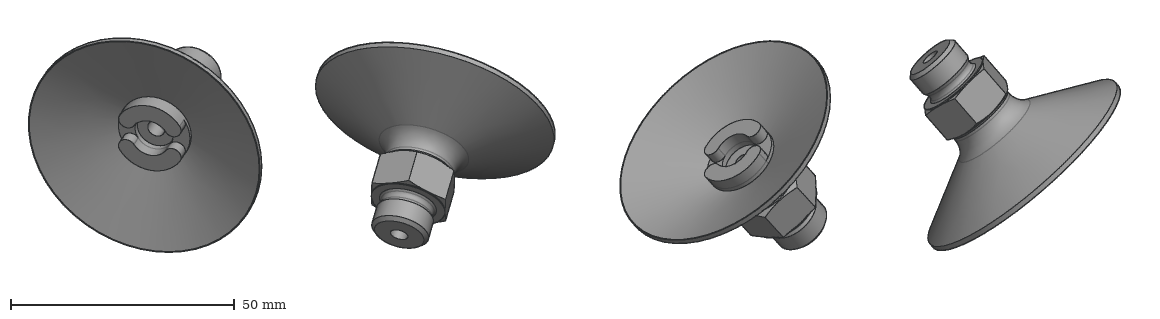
import cadquery as cq
import math


rim_radius = 27.5
rim_width = 1.25
lip_thickness = 0.2
cone_end_radius = 10.35
cone_end_y = 11.0
inner_cone_depth = 7.55

neck_radius = 16.0 / 2
neck_start_y = 15.35
neck_end_y = 16.0
neck_shoulder_radius = 8.25

hex_flats = 17.0
hex_corner_radius = hex_flats / 2 / math.cos(math.pi / 6)
hex_start_y = 16.45
hex_end_y = 25.45
hex_front_chamfer = 0.8
hex_back_chamfer = 0.35
washer_thickness = 0.3

stud_radius = 13.15 / 2
stud_start_y = 28.2
stud_end_y = 33.5
stud_chamfer = 0.9
undercut_radius = 5.95
undercut_edge_radius = 6.15
undercut_start_y = 25.9
undercut_end_y = 27.45

boss_radius = 17.0 / 2
boss_front_y = 3.7
slot_floor_y = 6.55
slot_width = 3.2
bore_radius = 9.0 / 2
bore_floor_y = 8.0
hole_radius = 4.0 / 2


def cylinder(radius, start_y, end_y):
    """Cylinder about the Y axis."""
    return cq.Workplane("XZ", origin=(0, start_y, 0)).circle(radius).extrude(start_y - end_y)


def revolve(profile):
    """Turn a closed (radius, Y) profile about the Y axis."""
    return profile.close().revolve(360, (0, 0, 0), (0, 1, 0))


def make_cup_and_neck():
    outline = (
        cq.Workplane("XY")
        .lineTo(rim_radius, 0)
        .lineTo(rim_radius, rim_width)
        .lineTo(cone_end_radius, cone_end_y)
    )
    run = cone_end_radius - neck_radius
    rise = neck_start_y - cone_end_y
    flare_radius = (run**2 + rise**2) / (2 * run)
    half_angle = math.asin(rise / flare_radius) / 2
    flare_middle = (
        neck_radius + flare_radius * (1 - math.cos(half_angle)),
        neck_start_y - flare_radius * math.sin(half_angle),
    )
    body = revolve(
        outline.threePointArc(flare_middle, (neck_radius, neck_start_y))
        .lineTo(neck_radius, neck_end_y)
        .lineTo(neck_shoulder_radius, hex_start_y)
        .lineTo(0, hex_start_y)
    )
    hollow = revolve(
        cq.Workplane("XY")
        .lineTo(rim_radius - lip_thickness, 0)
        .lineTo(boss_radius, inner_cone_depth)
        .lineTo(0, inner_cone_depth)
    )
    return body.cut(hollow)


def make_hexagon():
    prism = (
        cq.Workplane("XZ", origin=(0, hex_start_y, 0))
        .transformed(rotate=(0, 0, 90))
        .polygon(6, 2 * hex_corner_radius)
        .extrude(hex_start_y - hex_end_y)
    )
    washer_y = hex_end_y - washer_thickness
    envelope = revolve(
        cq.Workplane("XY")
        .moveTo(0, hex_start_y)
        .lineTo(neck_shoulder_radius, hex_start_y)
        .lineTo(hex_corner_radius, hex_start_y + hex_front_chamfer)
        .lineTo(hex_corner_radius, washer_y - hex_back_chamfer)
        .lineTo(hex_flats / 2, washer_y)
        .lineTo(hex_flats / 2, hex_end_y)
        .lineTo(0, hex_end_y)
    )
    return prism.intersect(envelope)


def make_stud():
    undercut_middle = (undercut_radius, (undercut_start_y + undercut_end_y) / 2)
    return revolve(
        cq.Workplane("XY")
        .moveTo(0, hex_end_y)
        .lineTo(stud_radius, hex_end_y)
        .lineTo(undercut_edge_radius, undercut_start_y)
        .threePointArc(undercut_middle, (undercut_edge_radius, undercut_end_y))
        .lineTo(stud_radius, stud_start_y)
        .lineTo(stud_radius, stud_end_y - stud_chamfer)
        .lineTo(stud_radius - stud_chamfer, stud_end_y)
        .lineTo(0, stud_end_y)
    )


def polar(radius, angle):
    """Point at an angle from +X, turning toward +Z."""
    return radius * math.cos(angle), radius * math.sin(angle)


def make_lobe():
    """Ring segment on the +Z side with fully rounded ends, rooted at the bore floor."""
    end_radius = (boss_radius - bore_radius) / 2
    middle_radius = (boss_radius + bore_radius) / 2
    right = math.asin((slot_width / 2 + end_radius) / middle_radius)
    left = math.pi - right
    end_centre = cq.Vector(*polar(middle_radius, right))
    right_cap = end_centre + cq.Vector(*polar(end_radius, right - math.pi / 2))
    left_cap = cq.Vector(-right_cap.x, right_cap.y)
    return (
        cq.Workplane("XZ", origin=(0, boss_front_y, 0))
        .moveTo(*polar(boss_radius, right))
        .threePointArc((0, boss_radius), polar(boss_radius, left))
        .threePointArc(left_cap, polar(bore_radius, left))
        .threePointArc((0, bore_radius), polar(bore_radius, right))
        .threePointArc(right_cap, polar(boss_radius, right))
        .close()
        .extrude(boss_front_y - bore_floor_y)
    )


def make_boss():
    base = cylinder(boss_radius, slot_floor_y, cone_end_y)
    lobe = make_lobe()
    return base.union(lobe).union(lobe.mirror("XY"))


result = make_cup_and_neck().union(make_hexagon()).union(make_stud()).union(make_boss())
result = result.cut(cylinder(bore_radius, 0, bore_floor_y))
result = result.cut(cylinder(hole_radius, 0, stud_end_y)).clean()